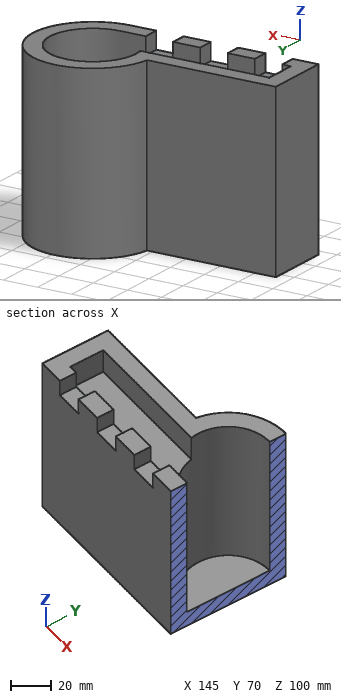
import cadquery as cq

length = 145.0
height = 100.0
bore_diameter = 50.0
wall = 10.0
arm_width = 40.0
slot_depth = 15.1
bore_floor = 10.0
notch_width = 16.0
notch_depth = 10.0
first_notch = 15.1
notch_count = 3

bore_radius = bore_diameter / 2
ring_radius = bore_radius + wall
ring_x = length - ring_radius
ring_y = ring_radius
notch_pitch = 2 * notch_width


def box(x, y, z, size_x, size_y, size_z):
    """Box with its lowest corner at (x, y, z)."""
    return cq.Workplane("XY").box(size_x, size_y, size_z, centered=False).translate((x, y, z))


def ring_cylinder(radius, bottom):
    """Cylinder on the ring axis, reaching from bottom to the top face."""
    return (
        cq.Workplane("XY", origin=(ring_x, ring_y, bottom))
        .circle(radius)
        .extrude(height - bottom)
    )


body = box(0, 0, 0, ring_x, arm_width, height).union(ring_cylinder(ring_radius, 0))

bore = ring_cylinder(bore_radius, bore_floor)
slot = box(wall, wall, height - slot_depth, ring_x - wall, arm_width - 2 * wall, slot_depth)
result = body.cut(bore).cut(slot)

for index in range(notch_count):
    notch_x = first_notch + index * notch_pitch
    notch = box(notch_x, 0, height - notch_depth, notch_width, wall, notch_depth)
    result = result.cut(notch)